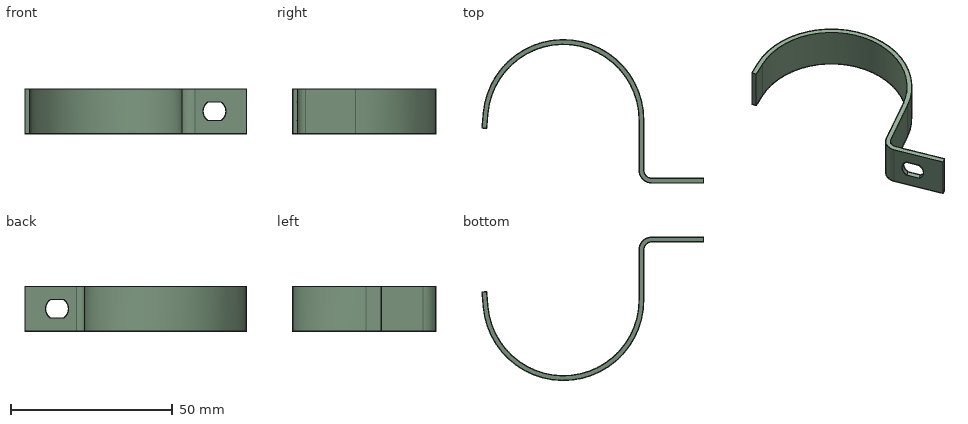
import cadquery as cq
import math

width = 14.0
thickness = 1.5
overall_length = 68.8
overall_depth = 44.5

outer_radius = 25.0
inner_radius = outer_radius - thickness
lip_angle = math.radians(5)
lip_drop = 4.7

bend_outer_radius = 4.0
bend_inner_radius = bend_outer_radius - thickness

slot_length = 7.0
slot_height = 5.65
slot_flat = 4.1
slot_edge_distance = 10.0

lip_length = lip_drop / math.cos(lip_angle)
foot_bottom = outer_radius - overall_depth
foot_top = foot_bottom + thickness
lip_tip = outer_radius * math.cos(lip_angle) + lip_length * math.sin(lip_angle)
foot_end = overall_length - lip_tip


def lip_start(radius):
    return (-radius * math.cos(lip_angle), radius * math.sin(lip_angle))


def lip_end(radius):
    x, y = lip_start(radius)
    return (x - lip_length * math.sin(lip_angle), y - lip_length * math.cos(lip_angle))


def bent_strip():
    bend_x = inner_radius + bend_outer_radius
    bend_y = foot_bottom + bend_outer_radius
    diagonal = math.sqrt(0.5)
    outer_mid = (bend_x - bend_outer_radius * diagonal, bend_y - bend_outer_radius * diagonal)
    inner_mid = (bend_x - bend_inner_radius * diagonal, bend_y - bend_inner_radius * diagonal)
    return (
        cq.Workplane("XY")
        .workplane(offset=-width / 2)
        .moveTo(*lip_end(outer_radius))
        .lineTo(*lip_start(outer_radius))
        .threePointArc((0, outer_radius), (outer_radius, 0))
        .lineTo(outer_radius, bend_y)
        .threePointArc(inner_mid, (bend_x, foot_top))
        .lineTo(foot_end, foot_top)
        .lineTo(foot_end, foot_bottom)
        .lineTo(bend_x, foot_bottom)
        .threePointArc(outer_mid, (inner_radius, bend_y))
        .lineTo(inner_radius, 0)
        .threePointArc((0, inner_radius), lip_start(inner_radius))
        .lineTo(*lip_end(inner_radius))
        .close()
        .extrude(width)
    )


def slot_cutter():
    half_flat = slot_flat / 2
    half_length = slot_length / 2
    half_height = slot_height / 2
    return (
        cq.Workplane("XZ", origin=(foot_end - slot_edge_distance, foot_top, 0))
        .moveTo(-half_flat, half_height)
        .lineTo(half_flat, half_height)
        .threePointArc((half_length, 0), (half_flat, -half_height))
        .lineTo(-half_flat, -half_height)
        .threePointArc((-half_length, 0), (-half_flat, half_height))
        .close()
        .extrude(thickness)
    )


result = bent_strip().cut(slot_cutter())